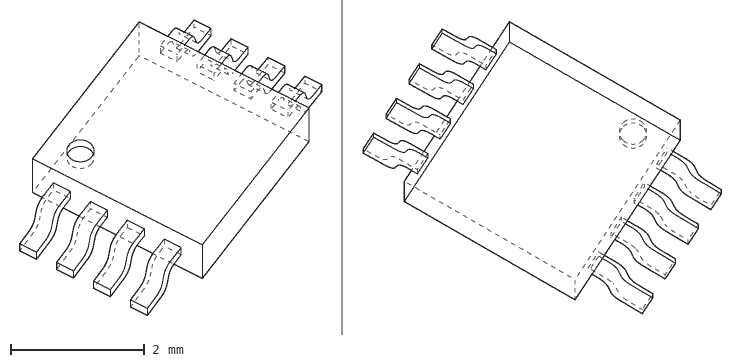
import cadquery as cq
import math

overall_length = 4.9
overall_height = 0.96
body_side = 3.0
body_height = 0.855
body_bottom = overall_height - body_height

leads_per_side = 4
lead_pitch = 0.65
lead_width = 0.3
lead_thickness = 0.18
shoulder_top = 0.62
shoulder_corner = 0.505
bend_radius = 0.18
leg_lean = math.radians(16)
foot_tilt = math.radians(2.8)

marker_diameter = 0.405
marker_depth = 0.165
marker_from_left = 0.53
marker_from_front = 0.505

half_body = body_side / 2
half_length = overall_length / 2


def make_body():
    return (
        cq.Workplane("XY")
        .workplane(offset=body_bottom)
        .rect(body_side, body_side)
        .extrude(body_height)
    )


def make_marker():
    return (
        cq.Workplane("XY")
        .workplane(offset=overall_height - marker_depth)
        .center(marker_from_left - half_body, marker_from_front - half_body)
        .circle(marker_diameter / 2)
        .extrude(marker_depth)
    )


def foot_leg_corner(leg_start, foot_height):
    """Point where a leg face meets a foot face.

    leg_start is the (distance from tip, height) of the leg face's upper end.
    foot_height is the height of the foot face at the tip.
    """
    lean_slope = math.tan(leg_lean)
    tilt_slope = math.tan(foot_tilt)
    start_distance, start_height = leg_start
    distance = start_distance - lean_slope * (start_height - foot_height)
    distance /= 1 - lean_slope * tilt_slope
    return distance, foot_height + tilt_slope * distance


def make_front_lead(x):
    """Lead on the -Y side, centred at x, with all four bends rounded alike."""
    tip_height = lead_thickness / math.cos(foot_tilt)
    shoulder_bottom = shoulder_top - lead_thickness
    upper_shoulder = (shoulder_corner, shoulder_top)
    inner_distance = (
        shoulder_corner
        + lead_thickness / math.cos(leg_lean)
        - lead_thickness * math.tan(leg_lean)
    )
    lower_shoulder = (inner_distance, shoulder_bottom)
    body_face = half_length - half_body

    profile = [
        (0, 0),
        (0, tip_height),
        foot_leg_corner(upper_shoulder, tip_height),
        upper_shoulder,
        (body_face, shoulder_top),
        (body_face, shoulder_bottom),
        lower_shoulder,
        foot_leg_corner(lower_shoulder, 0),
    ]
    lead = (
        cq.Workplane("YZ", origin=(x, -half_length, 0))
        .polyline(profile)
        .close()
        .extrude(lead_width / 2, both=True)
    )
    bends = cq.selectors.BoxSelector(
        (x - lead_width, -half_length + lead_thickness / 2, -lead_thickness),
        (x + lead_width, -half_body - lead_thickness / 2, overall_height),
    )
    return lead.edges("|X").edges(bends).fillet(bend_radius)


result = make_body().cut(make_marker())
for index in range(leads_per_side):
    lead_x = (index - (leads_per_side - 1) / 2) * lead_pitch
    front_lead = make_front_lead(lead_x)
    result = result.union(front_lead).union(front_lead.mirror("XZ"))